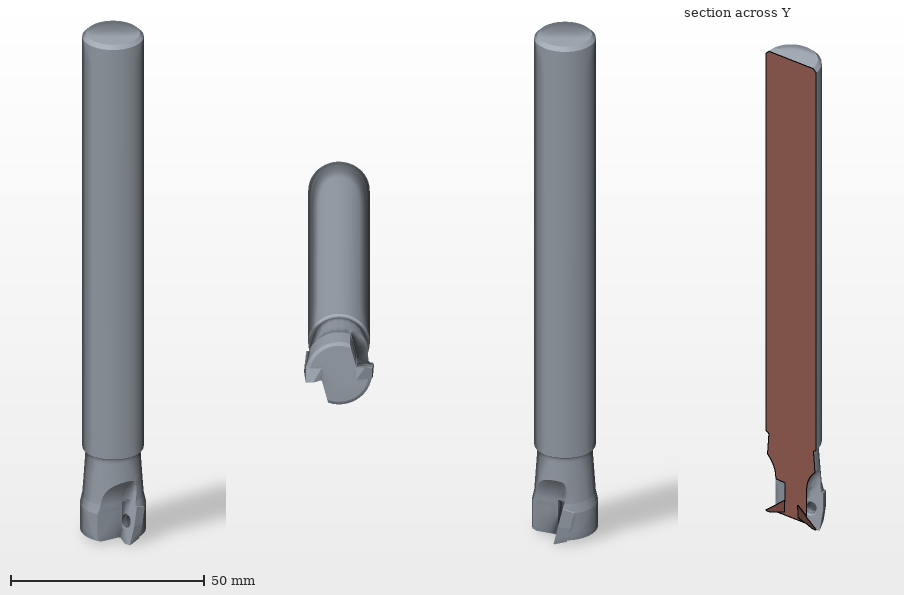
import cadquery as cq
import math

total_length = 145.0
shank_radius = 16.0 / 2
shank_bottom = 25.2
shank_chamfer = 1.0
neck_top_radius = 7.1
neck_top = 24.6
neck_bottom_radius = 8.0
neck_bottom = 11.7
head_radius = 8.5
head_shoulder = 9.1
head_bottom = 1.0
head_chamfer_width = 0.9
head_chamfer_height = 0.5

insert_count = 2
axial_rake = 13.0
radial_rake = 12.0
insert_thickness = 3.2
insert_clearance = 8.0
end_relief = 16.0
cutting_radius = 9.0
insert_center_x = 5.5
insert_center_y = 0.7
insert_bottom = -5.8
insert_bottom_corner = -5.5
insert_center_z = -insert_bottom * math.cos(math.radians(axial_rake))
insert_outer = (cutting_radius - insert_center_x) / math.cos(math.radians(radial_rake))
insert_outer_bottom = 3.2
insert_outer_top = 3.2
insert_inner = -3.5
insert_top = 5.4
insert_top_corner = 5.1
wiper_inner = 1.3
ramp_top = -3.6

hole_diameter = 2.8
counterbore_diameter = 3.5
counterbore_depth = 1.2
counterbore_chamfer = 0.22
thread_diameter = 2.5
thread_depth = 0.5

flute_wall_x = 5.0
flute_roof_radius = 9.1
flute_outer_x = 10.9
flute_corner_radius = 2.2
flute_depth = 14.5
wall_recess_depth = 0.1
wall_recess_top = 10.0
wall_recess_edge_y = -0.7
wall_recess_corner_radius = 0.7

clear = 1.5
on_plane_tolerance = 1.45e-06


def rake_plane():
    """Plane of the +X insert's cutting face, its normal leaning outward and upward."""
    radial = math.radians(radial_rake)
    axial = math.radians(axial_rake)
    normal = (
        math.sin(radial) * math.cos(axial),
        -math.cos(radial) * math.cos(axial),
        math.sin(axial),
    )
    along_edge = (math.cos(radial), math.sin(radial), 0)
    return cq.Plane((insert_center_x, insert_center_y, insert_center_z), along_edge, normal)


def turned_blank():
    """Shank, tapered neck and head as one revolved profile."""
    return (
        cq.Workplane("XZ")
        .moveTo(0, head_bottom)
        .lineTo(head_radius - head_chamfer_width, head_bottom)
        .lineTo(head_radius, head_bottom + head_chamfer_height)
        .lineTo(head_radius, head_shoulder)
        .lineTo(neck_bottom_radius, neck_bottom)
        .lineTo(neck_top_radius, neck_top)
        .lineTo(shank_radius, shank_bottom)
        .lineTo(shank_radius, total_length - shank_chamfer)
        .lineTo(shank_radius - shank_chamfer, total_length)
        .lineTo(0, total_length)
        .close()
        .revolve(360, (0, 0, 0), (0, 1, 0))
    )


def insert_outline():
    """Cutting-edge outline of an insert, drawn around its screw hole."""
    return cq.Workplane(rake_plane()).polyline(
        [
            (wiper_inner, insert_bottom),
            (insert_outer_bottom, insert_bottom_corner),
            (insert_outer, 0),
            (insert_outer_top, insert_top_corner),
            (0, insert_top),
            (insert_inner, insert_top),
            (insert_inner, ramp_top),
        ]
    ).close()


def insert_block():
    """Insert without its hole and end relief; its flanks slope inward behind the cutting edges."""
    return insert_outline().extrude(-insert_thickness, taper=insert_clearance)


def end_relief_wedge():
    """Wedge under the insert, rising rearward from its lowest cutting edge."""
    edge_x, edge_y, edge_z = rake_plane().toWorldCoords((wiper_inner, insert_bottom)).toTuple()
    run = 2 * insert_thickness
    rise = run * math.tan(math.radians(end_relief))
    return (
        cq.Workplane("YZ", origin=(edge_x, edge_y, edge_z))
        .polyline([(0, 0), (run, rise), (run, -run), (0, -run)])
        .close()
        .extrude(cutting_radius, both=True)
    )


def cutting_insert():
    """Insert with its counterbored screw hole, the mouth of the counterbore chamfered."""
    face = rake_plane()
    return (
        insert_block()
        .cut(end_relief_wedge())
        .copyWorkplane(cq.Workplane(face))
        .cboreHole(hole_diameter, counterbore_diameter, counterbore_depth)
        .faces(cq.DirectionMinMaxSelector(face.zDir))
        .edges("%CIRCLE")
        .chamfer(counterbore_chamfer)
    )


def in_front_of_rake(shape):
    """Part of a shape that lies in front of the rake plane."""
    size = 4 * flute_depth
    return shape.intersect(cq.Workplane(rake_plane()).rect(size, size).extrude(size))


def chip_flute():
    """Flat wall that curves outward into the roof, with a rounded corner along the floor."""
    roof_run = flute_outer_x - flute_wall_x
    roof_angle = math.acos(1 - roof_run / flute_roof_radius)
    roof_center_x = flute_wall_x + flute_roof_radius

    def roof_point(angle):
        x = roof_center_x - flute_roof_radius * math.cos(angle)
        z = neck_bottom + flute_roof_radius * math.sin(angle)
        return (x, z)

    prism = (
        cq.Workplane("XZ")
        .moveTo(flute_wall_x, -clear)
        .lineTo(flute_wall_x, neck_bottom)
        .threePointArc(roof_point(roof_angle / 2), roof_point(roof_angle))
        .lineTo(flute_outer_x, -clear)
        .close()
        .extrude(flute_depth, both=True)
    )
    cutter = in_front_of_rake(prism)
    floor = rake_plane()
    wall_and_roof_edges = [
        edge
        for edge in cutter.edges().vals()
        if abs(floor.toLocalCoords(edge.Center()).z) < on_plane_tolerance
        and flute_wall_x - clear < edge.Center().x < flute_outer_x - clear / 2
        and edge.Center().z > 0
    ]
    return cutter.newObject(wall_and_roof_edges).fillet(flute_corner_radius)


def insert_access():
    """Square-cornered clearance in front of the insert, below the flute's roof."""
    width = flute_outer_x - flute_wall_x
    beside_wall = (
        cq.Workplane()
        .box(width, 2 * flute_depth, neck_bottom + clear, centered=(False, True, False))
        .translate((flute_wall_x, 0, -clear))
    )
    behind_axis = cq.Workplane().box(
        2 * flute_depth, flute_depth, 2 * flute_depth, centered=(True, False, True)
    )
    under_wall = insert_outline().extrude(flute_depth).intersect(behind_axis)
    return in_front_of_rake(beside_wall).union(under_wall)


def wall_recess():
    """Shallow recess in the flute wall, open at the bottom and at the outer side."""
    return (
        cq.Workplane()
        .box(clear, flute_depth, wall_recess_top + clear, centered=False)
        .translate((flute_wall_x - wall_recess_depth, wall_recess_edge_y - flute_depth, -clear))
        .edges("|X and >Y and >Z")
        .fillet(wall_recess_corner_radius)
    )


def screw_thread_hole():
    """Blind hole in the seat, in line with the insert's hole."""
    return cq.Workplane(rake_plane()).circle(thread_diameter / 2).extrude(-insert_thickness - thread_depth)


def around_axis(shape, index):
    return shape.rotate((0, 0, 0), (0, 0, 1), index * 360 / insert_count)


station_cuts = [chip_flute(), insert_access(), wall_recess(), insert_block(), screw_thread_hole()]
cutter_body = turned_blank()
for index in range(insert_count):
    for cut in station_cuts:
        cutter_body = cutter_body.cut(around_axis(cut, index))

inserts = [around_axis(cutting_insert(), index).val() for index in range(insert_count)]

result = cq.Compound.makeCompound([cutter_body.val(), *inserts])